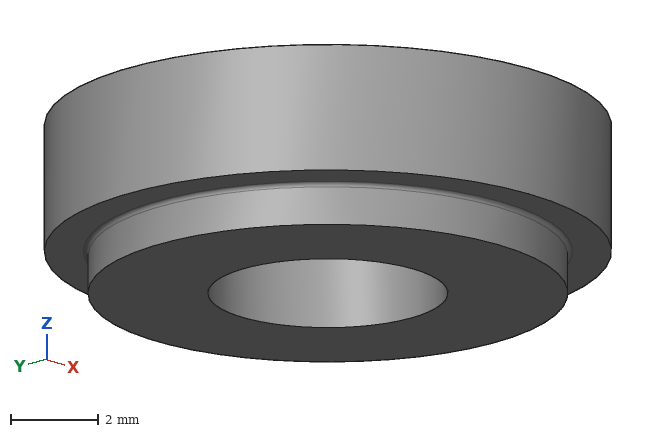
import cadquery as cq

outer_diameter = 13.0
spigot_diameter = 11.0
bore_diameter = 5.5
total_height = 4.0
spigot_height = 1.0
root_fillet_radius = 0.1

flange_height = total_height - spigot_height

spigot = cq.Workplane("XY").circle(spigot_diameter / 2).extrude(spigot_height)
flange = (
    cq.Workplane("XY")
    .workplane(offset=spigot_height)
    .circle(outer_diameter / 2)
    .extrude(flange_height)
)
body = spigot.union(flange)

root_edge = cq.selectors.RadiusNthSelector(0)
body = body.faces("<Z[1]").edges(root_edge).fillet(root_fillet_radius)

bore = cq.Workplane("XY").circle(bore_diameter / 2).extrude(total_height)
result = body.cut(bore)